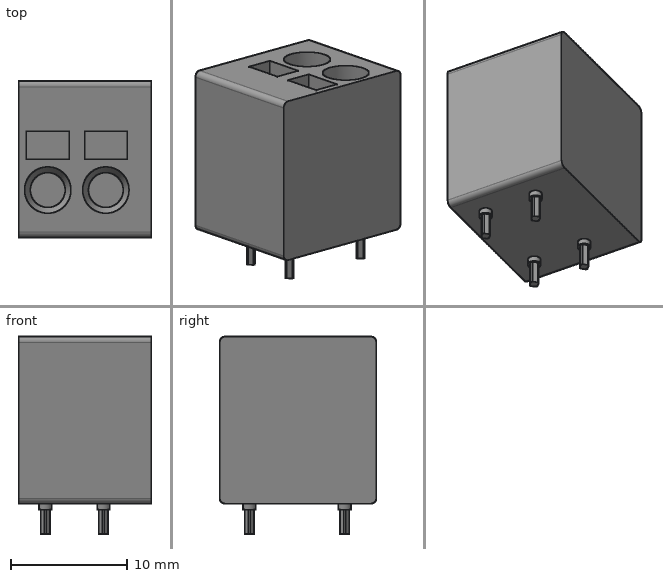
import cadquery as cq

TOTAL_HEIGHT = 17.0
WIDTH = 11.4
DEPTH = 13.5
HOUSING_HEIGHT = 14.4
EDGE_RADIUS = 0.5

POLE_COUNT = 2
POLE_PITCH = 5.0
FIRST_ENTRY_X = 2.5

ENTRY_DIAMETER = 4.0
ENTRY_FLOOR_DIAMETER = 3.0
ENTRY_STRAIGHT_DEPTH = 2.0
ENTRY_CONE_DEPTH = 1.25
ENTRY_Y = 4.1

POCKET_WIDTH = 3.67
POCKET_LENGTH = 2.41
POCKET_FRONT_Y = 6.75
POCKET_DEPTH = ENTRY_STRAIGHT_DEPTH + ENTRY_CONE_DEPTH

FIRST_PIN_X = 2.3
FRONT_PIN_Y = 2.57
PIN_ROW_SPACING = 8.2
COLLAR_DIAMETER = 1.1
COLLAR_HEIGHT = 0.51
SHANK_SIDE = 0.7
SHANK_CHAMFER = 0.12
SHANK_TURN = 45.0
PIN_LENGTH = TOTAL_HEIGHT - HOUSING_HEIGHT
SHANK_LENGTH = PIN_LENGTH - COLLAR_HEIGHT


def make_wire_entry(x):
    """Cutter for one stepped round opening, sunk from the housing top."""
    cone_z = HOUSING_HEIGHT - ENTRY_STRAIGHT_DEPTH
    floor_z = cone_z - ENTRY_CONE_DEPTH
    profile = [
        (0, HOUSING_HEIGHT),
        (ENTRY_DIAMETER / 2, HOUSING_HEIGHT),
        (ENTRY_DIAMETER / 2, cone_z),
        (ENTRY_FLOOR_DIAMETER / 2, floor_z),
        (0, floor_z),
    ]
    cutter = cq.Workplane("XZ").polyline(profile).close().revolve(360, (0, 0), (0, 1))
    return cutter.translate((x, ENTRY_Y, 0))


def make_release_pocket(x):
    """Cutter for one rectangular pocket, sunk from the housing top."""
    cutter = cq.Workplane("XY").box(POCKET_WIDTH, POCKET_LENGTH, POCKET_DEPTH, centered=(True, False, False))
    return cutter.translate((x, POCKET_FRONT_Y, HOUSING_HEIGHT - POCKET_DEPTH))


def make_housing():
    """Block with its underside at Z = 0 and its -X, -Y corner at the origin."""
    housing = cq.Workplane("XY").box(WIDTH, DEPTH, HOUSING_HEIGHT, centered=False)
    housing = housing.edges("|X").fillet(EDGE_RADIUS)
    for pole in range(POLE_COUNT):
        x = FIRST_ENTRY_X + pole * POLE_PITCH
        housing = housing.cut(make_wire_entry(x))
        housing = housing.cut(make_release_pocket(x))
    return housing


def make_pin(x, y):
    """One pin hanging from the underside of the housing."""
    collar = cq.Workplane("XY").circle(COLLAR_DIAMETER / 2).extrude(-COLLAR_HEIGHT)
    shank = (
        cq.Workplane("XY")
        .workplane(offset=-COLLAR_HEIGHT)
        .rect(SHANK_SIDE, SHANK_SIDE)
        .extrude(-SHANK_LENGTH)
        .edges("|Z")
        .chamfer(SHANK_CHAMFER)
        .rotate((0, 0, 0), (0, 0, 1), SHANK_TURN)
    )
    return collar.union(shank).translate((x, y, 0))


housing = make_housing()

pins = []
for pole in range(POLE_COUNT):
    for pin_y in (FRONT_PIN_Y, FRONT_PIN_Y + PIN_ROW_SPACING):
        pins.append(make_pin(FIRST_PIN_X + pole * POLE_PITCH, pin_y).val())

result = cq.Compound.makeCompound([housing.val(), *pins])